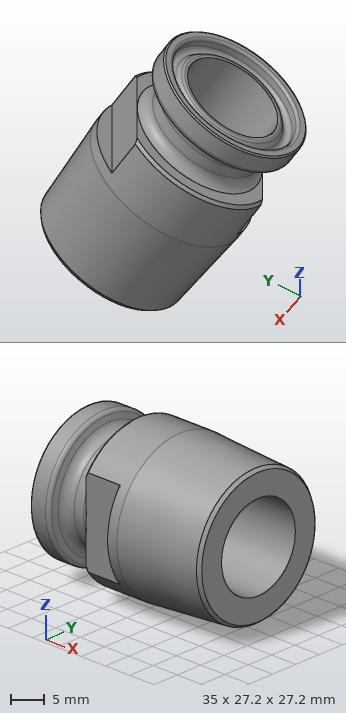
import cadquery as cq
import math

length = 35.0
flange_straight_end = 3.2
neck_start = 6.15
neck_end = 8.1
body_start = 10.0
flat_end = 17.05
taper_start = 18.95

bore_radius = 7.9
flange_radius = 12.5
neck_radius = 9.5
outer_diameter = 27.25
body_radius = outer_diameter / 2
taper_end_radius = 12.65

flange_chamfer = 0.25
body_chamfer = 0.5
end_chamfer_length = 0.63
end_chamfer_depth = 0.5
flange_round = 0.77
neck_round = 2.0
flange_slope = math.radians(17)

rim_inner_radius = 11.3
rim_round = 0.45
groove_outer_radius = rim_inner_radius - rim_round
groove_outer_depth = 1.5
groove_bottom_radius = 10.3
groove_bottom_depth = 2.2
groove_inner_radius = 9.4
groove_inner_depth = 1.75
lip_depth = 0.85
lip_outer_radius = 8.35
lip_round_end_radius = 8.82
lip_round_end_depth = 1.05

flat_distance = 11.0


def arc_point(center_x, center_r, radius, angle):
    """Point on an arc, as (x, distance from the axis)."""
    return (center_x + radius * math.cos(angle), center_r + radius * math.sin(angle))


def make_turned_body():
    """Revolve the full half-section about the X axis."""
    flange_center = (flange_straight_end, flange_radius - flange_round)
    slope_top = arc_point(*flange_center, flange_round, flange_slope)
    flange_mid = arc_point(*flange_center, flange_round, (flange_slope + math.pi / 2) / 2)

    left_center = (neck_start, neck_radius + neck_round)
    slope_bottom = arc_point(*left_center, neck_round, math.pi + flange_slope)
    left_mid = arc_point(*left_center, neck_round, math.pi * 5 / 4 + flange_slope / 2)

    right_center = (neck_end, neck_radius + neck_round)
    right_angle = -math.acos((body_start - neck_end) / neck_round)
    right_mid = arc_point(*right_center, neck_round, (right_angle - math.pi / 2) / 2)
    right_top = arc_point(*right_center, neck_round, right_angle)

    rim_center = (rim_round, rim_inner_radius)
    rim_mid = arc_point(*rim_center, rim_round, math.pi * 5 / 4)

    profile = (
        cq.Workplane("XY")
        .moveTo(0, rim_inner_radius)
        .lineTo(0, flange_radius - flange_chamfer)
        .lineTo(flange_chamfer, flange_radius)
        .lineTo(flange_straight_end, flange_radius)
        .threePointArc(flange_mid, slope_top)
        .lineTo(*slope_bottom)
        .threePointArc(left_mid, (neck_start, neck_radius))
        .lineTo(neck_end, neck_radius)
        .threePointArc(right_mid, right_top)
        .lineTo(body_start, body_radius - body_chamfer)
        .lineTo(body_start + body_chamfer, body_radius)
        .lineTo(taper_start, body_radius)
        .lineTo(length - end_chamfer_length, taper_end_radius)
        .lineTo(length, taper_end_radius - end_chamfer_depth)
        .lineTo(length, bore_radius)
        .lineTo(lip_depth, bore_radius)
        .lineTo(lip_depth, lip_outer_radius)
        .tangentArcPoint((lip_round_end_depth, lip_round_end_radius), relative=False)
        .lineTo(groove_inner_depth, groove_inner_radius)
        .threePointArc(
            (groove_bottom_depth, groove_bottom_radius),
            (groove_outer_depth, groove_outer_radius),
        )
        .lineTo(rim_round, groove_outer_radius)
        .threePointArc(rim_mid, (0, rim_inner_radius))
        .close()
    )
    return profile.revolve(360, (0, 0, 0), (1, 0, 0))


def make_flat_cutter(side):
    """Block outside one wrench flat; side is +1 or -1 along Y."""
    block_depth = body_radius
    return cq.Workplane("XY").box(
        flat_end - body_start, block_depth, 2 * body_radius
    ).translate(((body_start + flat_end) / 2, side * (flat_distance + block_depth / 2), 0))


result = make_turned_body()
for side in (-1, 1):
    result = result.cut(make_flat_cutter(side))